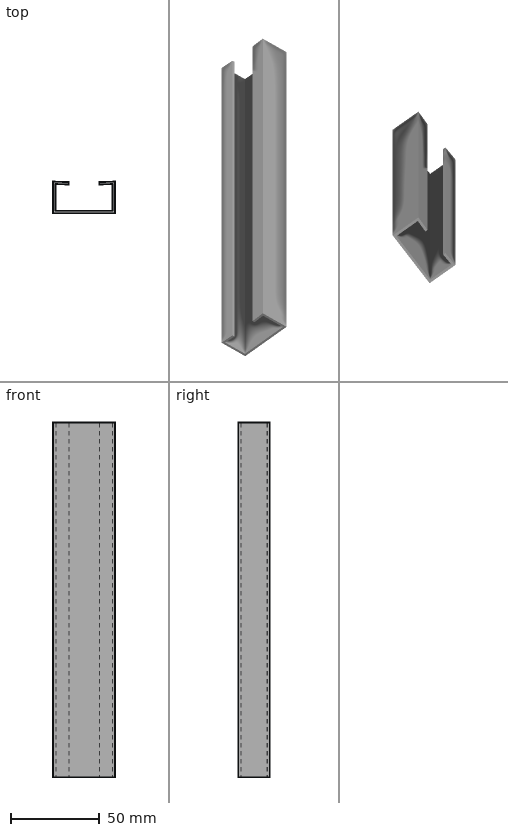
import cadquery as cq

length = 200.0
width = 35.0
depth = 18.0
wall = 1.5
lip_reach = 9.0
lip_drop = 0.3

side_x = width / 2
back_y = -depth / 2
front_y = depth / 2
lip_end_x = side_x - lip_reach
inner_x = side_x - wall
inner_corner_y = front_y - wall - lip_drop * wall / lip_reach
lip_end_y = front_y - lip_drop

half_profile = [
    (0, back_y),
    (side_x, back_y),
    (side_x, front_y),
    (lip_end_x, lip_end_y),
    (lip_end_x, lip_end_y - wall),
    (inner_x, inner_corner_y),
    (inner_x, back_y + wall),
    (0, back_y + wall),
]

half_channel = cq.Workplane("XY").workplane(offset=-length / 2).polyline(half_profile).close().extrude(length)

result = half_channel.union(half_channel.mirror("YZ")).clean()